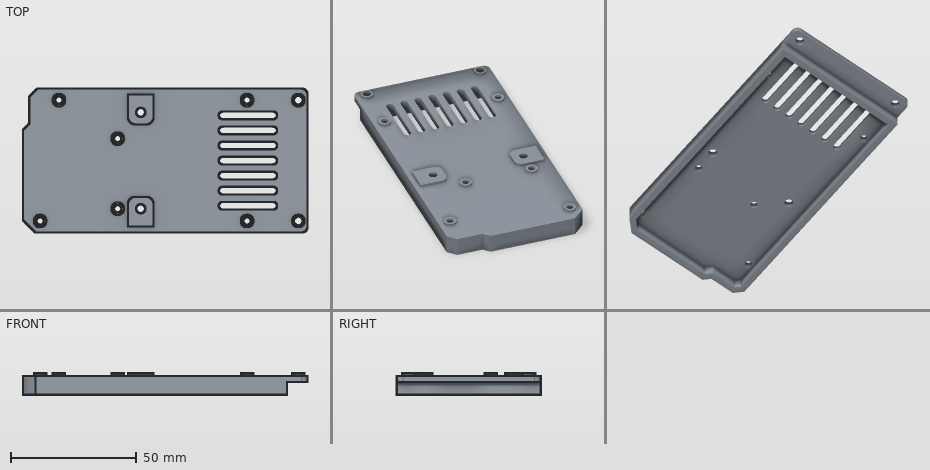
import cadquery as cq

length = 113.7
width = 57.5
height = 8.6
raised_height = 1.0
plate_thickness = 2.5
wall_thickness = plate_thickness
top_z = height - raised_height

lip_length = 8.2
lower_chamfer = 5.0
upper_chamfer = 3.3
step_depth = 2.5
step_from_top = 14.1
corner_radius = 2.5

boss_diameter = 5.0
small_hole = 3.0
large_hole = 3.5
edge_inset = 4.7
lower_left_boss_x = 6.9
upper_left_boss_x = 14.4
middle_boss_x = 37.9
slot_side_boss_x = 89.5
lip_boss_inset = 3.8
lip_boss_x = length - lip_boss_inset
pad_hole_inset = 9.5
upper_middle_boss_y = 37.5

pad_width = 10.2
pad_length = 11.9
pad_inset = 2.4
pad_radius = 3.0
pad_x = 47.1

slot_count = 7
slot_length = 23.2
slot_width = 3.0
slot_row_span = 36.0
slot_pitch = slot_row_span / (slot_count - 1)
slot_center_x = 89.8

upper_edge_y = width - edge_inset
small_boss_centers = [
    (lower_left_boss_x, edge_inset),
    (upper_left_boss_x, upper_edge_y),
    (middle_boss_x, pad_hole_inset),
    (middle_boss_x, upper_middle_boss_y),
    (slot_side_boss_x, edge_inset),
    (slot_side_boss_x, upper_edge_y),
]
lip_boss_centers = [(lip_boss_x, edge_inset), (lip_boss_x, upper_edge_y)]
pad_hole_centers = [(pad_x, pad_hole_inset), (pad_x, width - pad_hole_inset)]


def outline(right_x, base_z):
    """Closed outline with the stepped, chamfered left end and a square right end."""
    step_y = width - step_from_top
    return (
        cq.Workplane("XY", origin=(0, 0, base_z))
        .moveTo(lower_chamfer, 0)
        .lineTo(right_x, 0)
        .lineTo(right_x, width)
        .lineTo(step_depth + upper_chamfer, width)
        .lineTo(step_depth, width - upper_chamfer)
        .lineTo(step_depth, step_y)
        .lineTo(0, step_y - step_depth)
        .lineTo(0, lower_chamfer)
        .close()
    )


def cover_shell():
    """Top plate with an overhanging lip, on a tray that is open underneath."""
    plate_bottom_z = top_z - plate_thickness
    tray_end_x = length - lip_length
    plate = (
        outline(length, plate_bottom_z)
        .extrude(plate_thickness)
        .edges("|Z and >X")
        .fillet(corner_radius)
    )
    tray = outline(tray_end_x, 0).extrude(top_z)
    cavity = outline(tray_end_x, 0).offset2D(-wall_thickness, "intersection").extrude(plate_bottom_z)
    return tray.cut(cavity).union(plate)


def bosses():
    """Round raised seats for the screw holes, still undrilled."""
    return (
        cq.Workplane("XY", origin=(0, 0, top_z))
        .pushPoints(small_boss_centers + lip_boss_centers)
        .circle(boss_diameter / 2)
        .extrude(raised_height)
    )


def pads():
    """Two raised pads with their rounded ends facing each other."""
    lower_pad = (
        cq.Workplane("XY", origin=(pad_x, pad_inset + pad_length / 2, top_z))
        .rect(pad_width, pad_length)
        .extrude(raised_height)
        .edges("|Z and >Y")
        .fillet(pad_radius)
    )
    upper_pad = lower_pad.mirror("XZ", (0, width / 2, 0))
    return lower_pad.union(upper_pad)


def through_holes(centers, diameter):
    """Cylinders that drill through the full height."""
    return cq.Workplane("XY").pushPoints(centers).circle(diameter / 2).extrude(height)


def ventilation_slots():
    """Row of round-ended slots along Y, centred on the width."""
    return (
        cq.Workplane("XY", origin=(slot_center_x, width / 2, 0))
        .rarray(1.1, slot_pitch, 1, slot_count)
        .slot2D(slot_length, slot_width)
        .extrude(height)
    )


result = (
    cover_shell()
    .union(bosses())
    .union(pads())
    .cut(through_holes(small_boss_centers, small_hole))
    .cut(through_holes(lip_boss_centers + pad_hole_centers, large_hole))
    .cut(ventilation_slots())
)